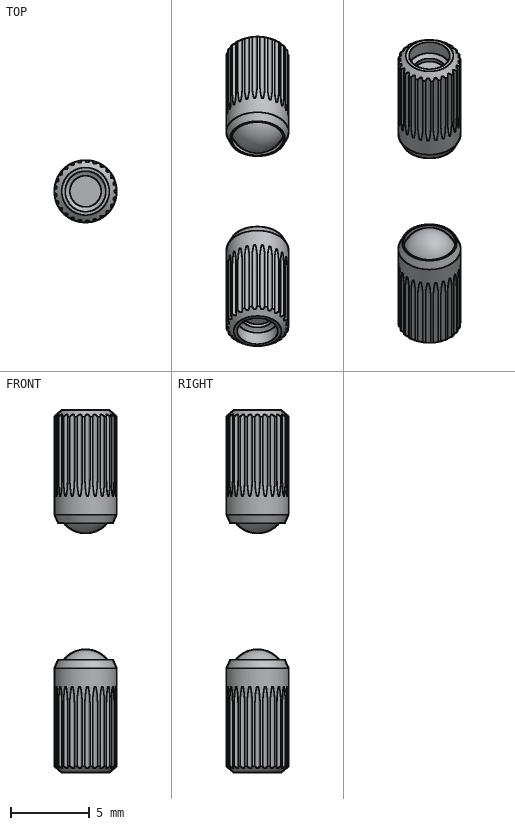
import cadquery as cq
import math

total_height = 23.2
pin_length = 7.9
pin_radius = 2.0

end_face_radius = 1.52
end_chamfer_height = 0.42

dome_rise = 0.67
collar_height = 0.54
collar_rim_radius = 1.76
collar_bore_radius = 1.66
dome_radius = 1.8
collar_rim_z = pin_length - dome_rise
dome_center_z = pin_length - dome_radius
dome_base_z = dome_center_z + math.sqrt(dome_radius**2 - collar_bore_radius**2)

socket_radius = 1.3
socket_depth = 0.94
seat_radius = 1.2
seat_depth = 1.02
recess_radius = 1.0
recess_top_depth = 1.13
recess_floor_depth = 1.39

groove_count = 25
groove_depth = 0.15
groove_floor_width = 0.18
groove_floor_sag = 0.05
groove_mouth_width = 0.34
groove_straight_end = 4.45
groove_runout = 1.07
groove_pitch_angle = 360 / groove_count
cutter_clearance = 0.1
cutter_radius = (groove_runout**2 + groove_depth**2) / (2 * groove_depth)


def revolved_blank():
    """Turned pin along +Z, socket end at Z = 0 and dome tip at the far end."""
    arc_angle = math.acos(collar_bore_radius / dome_radius)
    arc_middle = (arc_angle + math.pi / 2) / 2
    dome_middle = (
        dome_radius * math.cos(arc_middle),
        dome_center_z + dome_radius * math.sin(arc_middle),
    )
    return (
        cq.Workplane("XZ")
        .moveTo(0, recess_floor_depth)
        .lineTo(recess_radius, recess_floor_depth)
        .lineTo(recess_radius, recess_top_depth)
        .lineTo(seat_radius, seat_depth)
        .lineTo(socket_radius, socket_depth)
        .lineTo(socket_radius, 0)
        .lineTo(end_face_radius, 0)
        .lineTo(pin_radius, end_chamfer_height)
        .lineTo(pin_radius, collar_rim_z - collar_height)
        .lineTo(collar_rim_radius, collar_rim_z)
        .lineTo(collar_bore_radius, collar_rim_z)
        .lineTo(collar_bore_radius, dome_base_z)
        .threePointArc(dome_middle, (0, pin_length))
        .close()
        .revolve(360, (0, 0), (0, 1))
    )


def groove_section(height):
    """Tapered groove outline at the +X side of the pin, drawn at the given Z."""
    root = pin_radius - groove_depth
    outside = pin_radius + cutter_clearance
    side_foot = root + groove_floor_sag
    half_floor = groove_floor_width / 2
    side_slope = (groove_mouth_width - groove_floor_width) / 2 / (groove_depth - groove_floor_sag)
    half_outside = half_floor + side_slope * (outside - side_foot)
    return (
        cq.Workplane("XY")
        .workplane(offset=height)
        .moveTo(side_foot, -half_floor)
        .lineTo(outside, -half_outside)
        .lineTo(outside, half_outside)
        .lineTo(side_foot, half_floor)
        .threePointArc((root, 0), (side_foot, -half_floor))
        .close()
    )


def groove_cutters():
    """Straight groove followed by an arc run-out, both at the +X side."""
    straight = groove_section(0).extrude(groove_straight_end)
    axis_x = pin_radius - groove_depth + cutter_radius
    runout_angle = 2 * math.degrees(math.asin(groove_runout / cutter_radius))
    runout = groove_section(groove_straight_end).revolve(runout_angle, (axis_x, 0), (axis_x, 1))
    return straight, runout


def knurled_pin():
    """One complete pin with its ring of knurl grooves."""
    pin = revolved_blank()
    straight, runout = groove_cutters()
    for index in range(groove_count):
        angle = index * groove_pitch_angle
        for cutter in (straight, runout):
            pin = pin.cut(cutter.rotate((0, 0, 0), (0, 0, 1), angle))
    return pin


pin = knurled_pin()
lower_pin = pin.translate((0, 0, -total_height / 2))
upper_pin = lower_pin.mirror("XY")

result = cq.Compound.makeCompound([lower_pin.val(), upper_pin.val()])